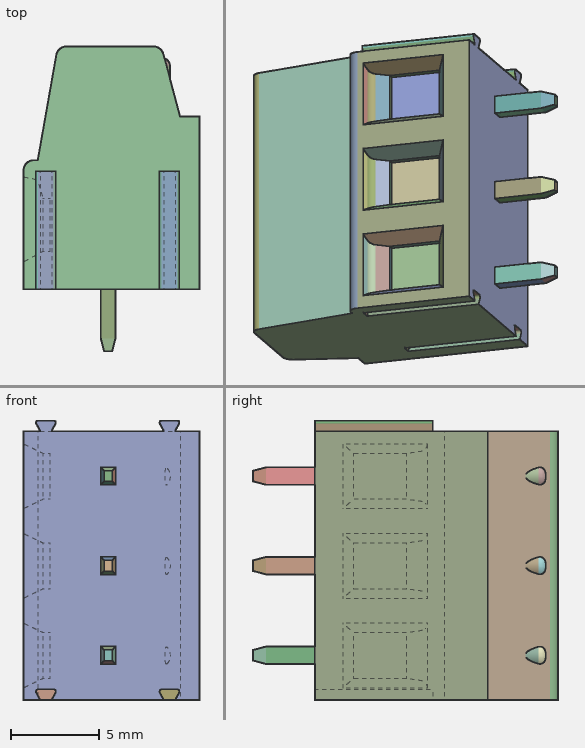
import cadquery as cq
import math


pole_count = 3
stack_height = 15.24
pitch = stack_height / pole_count
base_width = 10.0
total_length = 17.3
total_height = 15.85
pole_heights = [(pole + 0.5) * pitch for pole in range(pole_count)]

pin_length = 3.51
pin_x = -0.19
pin_width = 0.85
pin_thickness = 1.0
tip_length = 0.75
tip_width = 0.47
tip_thickness = 0.6

body_length = total_length - pin_length
wire_shoulder_y = 7.34
wire_shoulder_width = 0.81
wire_slope = 10.0
back_shoulder_y = 9.81
back_shoulder_width = 1.1
back_slope = 15.0
corner_radius = 0.6

dovetail_depth = total_height - stack_height
dovetail_length = 6.7
dovetail_width = 1.3
dovetail_neck = 0.64
dovetail_radius = 0.12
dovetail_x = (-3.72, 3.29)

funnel_bottom_y = 1.57
funnel_top_y = 6.38
funnel_height = 3.67
funnel_depth = 1.1
funnel_knee_y = 6.25
funnel_knee_depth = 0.8
funnel_knee_radius = 0.5
wire_hole_bottom_y = 2.18
wire_hole_top_y = 5.17
wire_hole_height = 2.6
wire_hole_depth = 1.49

barrel_radius = 0.7
barrel_reach_x = 3.32
barrel_top_y = 13.11
barrel_fillet = 0.43

wire_face_x = -base_width / 2
back_face_x = base_width / 2


def housing():
    """Extruded outline with sloped sides and rounded top and shoulder corners."""
    wire_foot_x = wire_face_x + wire_shoulder_width
    back_foot_x = back_face_x - back_shoulder_width
    wire_run = (body_length - wire_shoulder_y) * math.tan(math.radians(wire_slope))
    back_run = (body_length - back_shoulder_y) * math.tan(math.radians(back_slope))
    top_wire_corner = (wire_foot_x + wire_run, body_length)
    top_back_corner = (back_foot_x - back_run, body_length)
    shoulder_corner = (wire_face_x, wire_shoulder_y)
    outline = [
        (wire_face_x, 0),
        (back_face_x, 0),
        (back_face_x, back_shoulder_y),
        (back_foot_x, back_shoulder_y),
        top_back_corner,
        top_wire_corner,
        (wire_foot_x, wire_shoulder_y),
        shoulder_corner,
    ]
    block = cq.Workplane("XY").polyline(outline).close().extrude(stack_height)
    for x, y in (top_back_corner, top_wire_corner, shoulder_corner):
        corner_edge = cq.selectors.NearestToPointSelector((x, y, stack_height / 2))
        block = block.edges(corner_edge).fillet(corner_radius)
    return block


def dovetail(center_x, base_z):
    """Dovetail bar along Y that widens upward from base_z."""
    profile = [
        (center_x - dovetail_neck / 2, base_z),
        (center_x + dovetail_neck / 2, base_z),
        (center_x + dovetail_width / 2, base_z + dovetail_depth),
        (center_x - dovetail_width / 2, base_z + dovetail_depth),
    ]
    bar = cq.Workplane("XZ").polyline(profile).close().extrude(-dovetail_length)
    return bar.faces(">Z").edges("|Y").fillet(dovetail_radius)


def pin(center_z):
    """Rectangular pin with a four-sided tapered tip."""
    shank_length = pin_length - tip_length
    shank = (
        cq.Workplane("XZ", origin=(pin_x, 0, center_z))
        .rect(pin_width, pin_thickness)
        .extrude(shank_length)
    )
    tip = (
        cq.Workplane("XZ", origin=(pin_x, -shank_length, center_z))
        .rect(pin_width, pin_thickness)
        .workplane(offset=tip_length)
        .rect(tip_width, tip_thickness)
        .loft(ruled=True)
    )
    return shank.union(tip)


def wire_entry(center_z):
    """Cutter for one wire entry: a tapered funnel followed by a straight hole."""
    funnel_end_x = wire_face_x + funnel_depth
    knee_x = wire_face_x + funnel_knee_depth
    side_profile = [
        (wire_face_x, funnel_bottom_y),
        (funnel_end_x, wire_hole_bottom_y),
        (funnel_end_x, wire_hole_top_y),
        (knee_x, funnel_knee_y),
        (wire_face_x, funnel_top_y),
    ]
    funnel = (
        cq.Workplane("XY", origin=(0, 0, center_z))
        .polyline(side_profile)
        .close()
        .extrude(funnel_height / 2, both=True)
    )
    knee_edge = cq.selectors.NearestToPointSelector((knee_x, funnel_knee_y, center_z))
    funnel = funnel.edges(knee_edge).fillet(funnel_knee_radius)

    taper_profile = [
        (wire_face_x, center_z - funnel_height / 2),
        (funnel_end_x, center_z - wire_hole_height / 2),
        (funnel_end_x, center_z + wire_hole_height / 2),
        (wire_face_x, center_z + funnel_height / 2),
    ]
    taper = cq.Workplane("XZ").polyline(taper_profile).close().extrude(-body_length)

    wire_hole = cq.Workplane("XY").box(
        wire_hole_depth - funnel_depth,
        wire_hole_top_y - wire_hole_bottom_y,
        wire_hole_height,
        centered=(False, False, True),
    )
    wire_hole = wire_hole.translate((funnel_end_x, wire_hole_bottom_y, center_z))
    return funnel.intersect(taper).union(wire_hole)


def screw_barrel(center_z):
    """Round-topped cylinder along Y whose side shows through the +X slope."""
    barrel = (
        cq.Workplane("XZ", origin=(barrel_reach_x - barrel_radius, back_shoulder_y, center_z))
        .circle(barrel_radius)
        .extrude(back_shoulder_y - barrel_top_y)
    )
    return barrel.faces(">Y").edges().fillet(barrel_fillet)


result = housing()

for dovetail_center in dovetail_x:
    result = result.union(dovetail(dovetail_center, stack_height))
    result = result.cut(dovetail(dovetail_center, 0))

for pole_z in pole_heights:
    result = result.cut(wire_entry(pole_z))
    result = result.union(screw_barrel(pole_z))
    result = result.union(pin(pole_z))